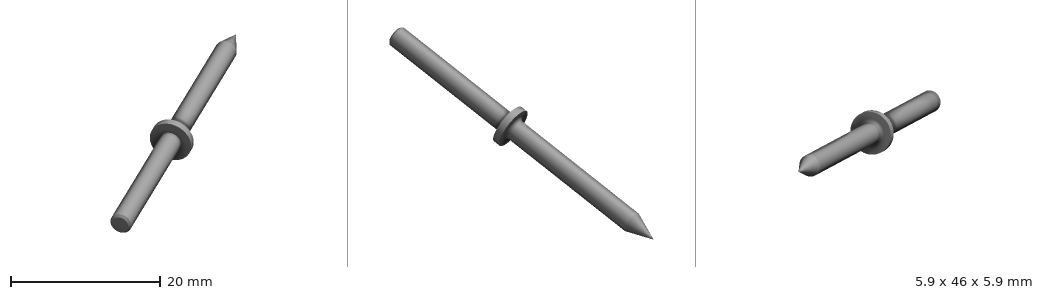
import cadquery as cq
import math

length = 46.0
shaft_diameter = 3.0
flange_diameter = 5.9
flange_thickness = 1.0
flange_start = 20.0
tip_length = 3.9
end_chamfer = 0.3
root_fillet = 0.5

shaft_radius = shaft_diameter / 2
flange_radius = flange_diameter / 2
blunt_end = -length / 2
point = length / 2
flange_near = blunt_end + flange_start
flange_far = flange_near + flange_thickness

fillet_sag = root_fillet * (1 - math.cos(math.pi / 4))
fillet_middle = (shaft_radius + fillet_sag, flange_far + fillet_sag)

half_profile = (
    cq.Workplane("XY")
    .moveTo(0, blunt_end)
    .lineTo(shaft_radius - end_chamfer, blunt_end)
    .lineTo(shaft_radius, blunt_end + end_chamfer)
    .lineTo(shaft_radius, flange_near)
    .lineTo(flange_radius, flange_near)
    .lineTo(flange_radius, flange_far)
    .lineTo(shaft_radius + root_fillet, flange_far)
    .threePointArc(fillet_middle, (shaft_radius, flange_far + root_fillet))
    .lineTo(shaft_radius, point - tip_length)
    .lineTo(0, point)
    .close()
)

result = half_profile.revolve(360, (0, 0, 0), (0, 1, 0))